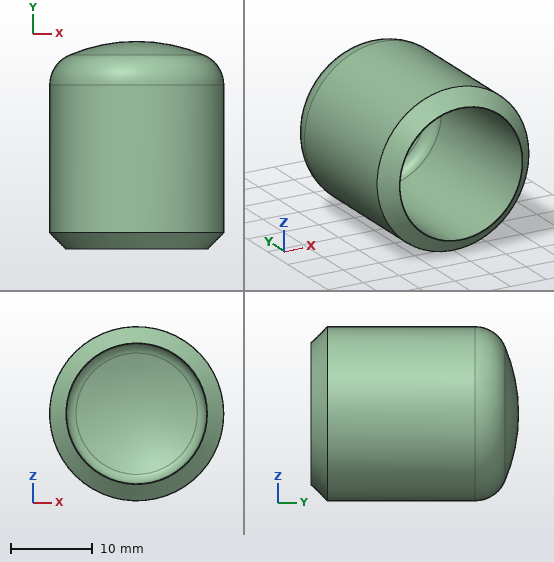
import cadquery as cq
import math

length = 25.4
outer_diameter = 21.3
wall = 2.08
chamfer_size = 2.0
corner_radius = 4.0
dome_radius = 21.0

outer_radius = outer_diameter / 2


def domed_plug(radius, crown_y, sphere_radius, blend_radius):
    """Solid round bar from y = 0 to a spherical crown, with a tangent rounded shoulder."""
    sphere_y = crown_y - sphere_radius
    blend_x = radius - blend_radius
    tilt = math.asin(blend_x / (sphere_radius - blend_radius))
    blend_y = sphere_y + (sphere_radius - blend_radius) * math.cos(tilt)

    def on_blend(angle):
        return (blend_x + blend_radius * math.sin(angle), blend_y + blend_radius * math.cos(angle))

    def on_sphere(angle):
        return (sphere_radius * math.sin(angle), sphere_y + sphere_radius * math.cos(angle))

    return (
        cq.Workplane("XY")
        .lineTo(radius, 0)
        .lineTo(radius, blend_y)
        .threePointArc(on_blend((tilt + math.pi / 2) / 2), on_blend(tilt))
        .threePointArc(on_sphere(tilt / 2), (0, crown_y))
        .close()
        .revolve(360, (0, 0), (0, 1))
    )


body = domed_plug(outer_radius, length, dome_radius, corner_radius)
body = body.faces("<Y").chamfer(chamfer_size)

cavity = domed_plug(outer_radius - wall, length - wall, dome_radius - wall, corner_radius - wall)

result = body.cut(cavity)